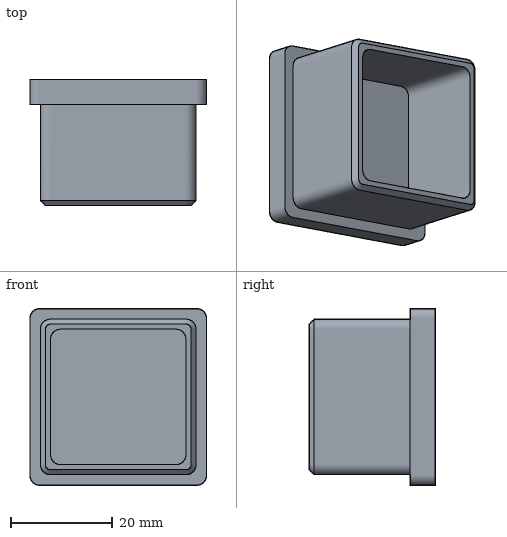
import cadquery as cq

flange_side = 35.0
flange_thickness = 5.0
total_depth = 25.0
plug_side = 30.8
wall_thickness = 2.0
corner_radius = 2.0

plug_length = total_depth - flange_thickness
opening_side = plug_side - 2 * wall_thickness
tip_chamfer = wall_thickness / 2


def rounded_square_block(side, start_y, length):
    """Square block with rounded long edges, running from start_y towards -Y."""
    block = cq.Workplane("XZ", origin=(0, start_y, 0)).rect(side, side).extrude(length)
    return block.edges("|Y").fillet(corner_radius)


flange = rounded_square_block(flange_side, 0, flange_thickness)

plug = rounded_square_block(plug_side, -flange_thickness, plug_length)
plug = plug.faces("<Y").edges().chamfer(tip_chamfer)

cavity = rounded_square_block(opening_side, -flange_thickness, plug_length)

result = flange.union(plug).cut(cavity)